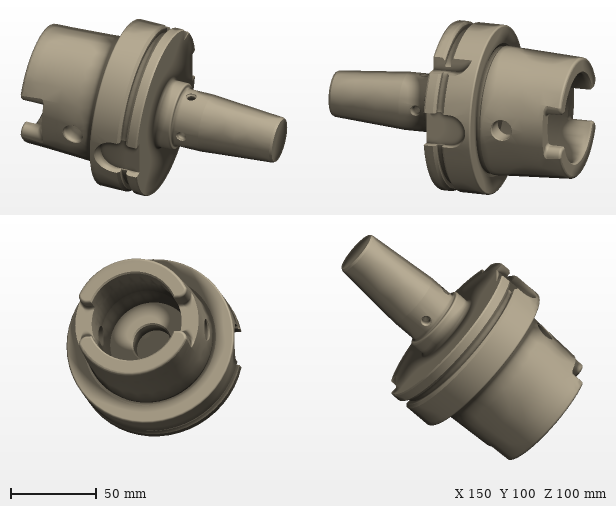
import cadquery as cq
import math

total_length = 150.0
flange_diameter = 100.0
flange_radius = flange_diameter / 2

shank_length = 50.0
mouth_radius = 35.7
taper_slope = 0.05
taper_end = 47.7
neck_step = 0.8
neck_radius = 37.5
recess_depth = 0.9
recess_radius = 39.5
mouth_rounding = 1.6

bore_radius = 26.2
bore_chamfer = 0.9
bore_mouth_radius = 26.5
bore_lead_end = 19.2
bore_straight_end = 35.2
bore_floor_radius = 24.6
bore_depth = 54.0
coolant_radius = 11.1
coolant_chamfer = 0.9
coolant_depth = 12.0

flange_end = 79.0
front_rounding = 1.0
back_chamfer = (0.9, 0.5)
groove_start = 68.1
groove_end = 71.8
groove_radius = 45.9
groove_bevel = 1.5

collar_radius = 20.1
collar_end = 89.0
collar_root_fillet = 1.8
collar_edge_fillet = 1.0
nose_radius = 17.1
nose_straight_end = 105.5
nose_half_angle = 4.5
tip_chamfer = (1.4, 0.8)

drive_half_width = 10.0
drive_flat = 32.2
lip_radius = 5.0
drive_floor_fillet = 1.8
near_drive_depth = 15.2
far_drive_depth = 10.0

slot_floor = 44.0
slot_tip = 54.9
slot_lean = 2.0
near_slot_width = 22.0
far_slot_width = 20.0

notch_offset = 31.2
notch_end_radius = 10.0
notch_tip = 54.9

shank_hole_x = 35.0
shank_hole_radius = 6.0
shank_hole_chamfer = 0.5
screw_hole_x = 95.0
screw_hole_radius = 2.4
screw_hole_chamfer = 0.8
screw_hole_depth = 6.8
drill_half_angle = 59.0

overrun = 1.5


def taper_radius(x):
    return mouth_radius + taper_slope * x


def revolve_about_x(points):
    return cq.Workplane("XY").polyline(points).close().revolve(360, (0, 0, 0), (1, 0, 0))


def turned_body():
    nose_slope = math.tan(math.radians(nose_half_angle))
    tip_taper_end = total_length - tip_chamfer[0]
    tip_taper_radius = nose_radius - (tip_taper_end - nose_straight_end) * nose_slope
    bevel_radius = flange_radius - groove_bevel
    outline = (
        cq.Workplane("XY")
        .lineTo(0, mouth_radius)
        .lineTo(taper_end, taper_radius(taper_end))
        .lineTo(taper_end + neck_step, neck_radius)
        .lineTo(shank_length + recess_depth, neck_radius)
        .lineTo(shank_length, recess_radius)
        .lineTo(shank_length, flange_radius - front_rounding)
        .radiusArc((shank_length + front_rounding, flange_radius), front_rounding)
        .lineTo(groove_start - groove_bevel, flange_radius)
        .lineTo(groove_start, bevel_radius)
        .lineTo(groove_start, groove_radius)
        .lineTo(groove_end, groove_radius)
        .lineTo(groove_end, bevel_radius)
        .lineTo(groove_end + groove_bevel, flange_radius)
        .lineTo(flange_end - back_chamfer[0], flange_radius)
        .lineTo(flange_end, flange_radius - back_chamfer[1])
        .lineTo(flange_end, collar_radius + collar_root_fillet)
        .radiusArc((flange_end + collar_root_fillet, collar_radius), -collar_root_fillet)
        .lineTo(collar_end - collar_edge_fillet, collar_radius)
        .radiusArc((collar_end, collar_radius - collar_edge_fillet), collar_edge_fillet)
        .lineTo(collar_end, nose_radius + collar_edge_fillet)
        .radiusArc((collar_end + collar_edge_fillet, nose_radius), -collar_edge_fillet)
        .lineTo(nose_straight_end, nose_radius)
        .lineTo(tip_taper_end, tip_taper_radius)
        .lineTo(total_length, tip_taper_radius - tip_chamfer[1])
        .lineTo(total_length, 0)
        .close()
    )
    return outline.revolve(360, (0, 0, 0), (1, 0, 0))


def bore():
    return revolve_about_x([
        (0, 0),
        (0, bore_mouth_radius + bore_chamfer),
        (bore_chamfer, bore_mouth_radius),
        (bore_lead_end, bore_radius),
        (bore_straight_end, bore_radius),
        (bore_depth, bore_floor_radius),
        (bore_depth, coolant_radius + coolant_chamfer),
        (bore_depth + coolant_chamfer, coolant_radius),
        (bore_depth + coolant_depth, coolant_radius),
        (bore_depth + coolant_depth, 0),
    ])


def drive_slot(side, depth):
    """Slot across one side of the shank mouth, flaring around the rounded lips."""
    arc_start = drive_flat - lip_radius
    flare = drive_half_width + lip_radius
    outer = flange_radius
    cutter = (
        cq.Workplane("YZ")
        .moveTo(0, -drive_half_width)
        .lineTo(side * arc_start, -drive_half_width)
        .radiusArc((side * drive_flat, -flare), side * lip_radius)
        .lineTo(side * drive_flat, -outer)
        .lineTo(side * outer, -outer)
        .lineTo(side * outer, outer)
        .lineTo(side * drive_flat, outer)
        .lineTo(side * drive_flat, flare)
        .radiusArc((side * arc_start, drive_half_width), side * lip_radius)
        .lineTo(0, drive_half_width)
        .close()
        .extrude(depth)
    )
    return cutter.faces(">X").edges().fillet(drive_floor_fillet)


def flange_slot(side, width):
    """Flat-floored slot, open towards the tool, with a forward-leaning rounded end."""
    radius = width / 2
    rise = flange_radius - slot_floor

    def section(workplane, tip):
        center = tip + radius
        return (
            workplane
            .moveTo(flange_end, -radius)
            .lineTo(center, -radius)
            .threePointArc((tip, 0), (center, radius))
            .lineTo(flange_end, radius)
            .close()
        )

    floor_plane = cq.Workplane("XZ", origin=(0, side * slot_floor, 0))
    floor = section(floor_plane, slot_tip)
    rim = section(floor.workplane(offset=-side * rise), slot_tip - slot_lean)
    return rim.loft(ruled=True)


def corner_notch():
    straight_start = notch_tip + notch_end_radius
    top = notch_offset + 2 * notch_end_radius
    middle = notch_offset + notch_end_radius
    return (
        cq.Workplane("XZ", origin=(0, notch_offset, 0))
        .moveTo(flange_end, notch_offset)
        .lineTo(straight_start, notch_offset)
        .threePointArc((notch_tip, middle), (straight_start, top))
        .lineTo(flange_end, top)
        .close()
        .extrude(-flange_radius)
    )


def shank_hole():
    """Clearance hole through both walls of the shank, with countersunk rims."""
    wall = taper_radius(shank_hole_x)
    rim = shank_hole_radius + shank_hole_chamfer
    return (
        cq.Workplane("XY", origin=(shank_hole_x, 0, 0))
        .lineTo(shank_hole_radius, 0)
        .lineTo(shank_hole_radius, wall - 2 * shank_hole_chamfer)
        .lineTo(rim, wall - shank_hole_chamfer)
        .lineTo(rim, wall + overrun)
        .lineTo(0, wall + overrun)
        .close()
        .revolve(360, (0, 0, 0), (0, 1, 0))
    )


def screw_hole():
    """Blind countersunk hole with a drill-point bottom, entering from +Z."""
    bottom = nose_radius - screw_hole_depth
    point = bottom - screw_hole_radius / math.tan(math.radians(drill_half_angle))
    rim = screw_hole_radius + screw_hole_chamfer
    return (
        cq.Workplane("XZ", origin=(screw_hole_x, 0, 0))
        .moveTo(0, point)
        .lineTo(screw_hole_radius, bottom)
        .lineTo(screw_hole_radius, nose_radius - 2 * screw_hole_chamfer)
        .lineTo(rim, nose_radius - screw_hole_chamfer)
        .lineTo(rim, nose_radius + overrun)
        .lineTo(0, nose_radius + overrun)
        .close()
        .revolve(360, (0, 0, 0), (0, 1, 0))
    )


body = turned_body()
for side, depth in ((-1, near_drive_depth), (1, far_drive_depth)):
    body = body.cut(drive_slot(side, depth))

body = body.faces("<X").edges().fillet(mouth_rounding)
body = body.cut(bore())

for side, width in ((-1, near_slot_width), (1, far_slot_width)):
    body = body.cut(flange_slot(side, width))
body = body.cut(corner_notch())
for angle in (0, 180):
    body = body.cut(shank_hole().rotate((0, 0, 0), (1, 0, 0), angle))
for angle in (0, 90, 180, 270):
    body = body.cut(screw_hole().rotate((0, 0, 0), (1, 0, 0), angle))

result = body